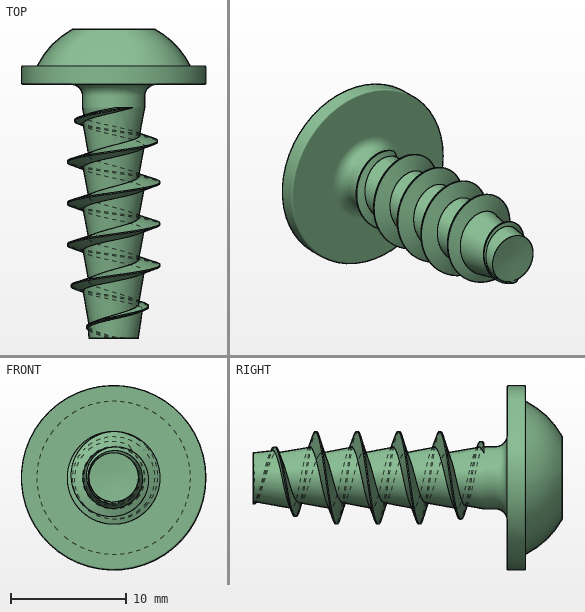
import cadquery as cq
import math


flange_radius = 8.0
flange_thickness = 1.6
flange_edge_round = 0.13
dome_base_radius = 6.65
dome_top_radius = 3.56
head_height = 4.8
dome_height = head_height - flange_thickness

shank_radius = 2.7
neck_fillet = 1.0
shank_length = 2.0
tip_y = head_height - 26.8

pitch = 3.6
crest_y_at_zero_turns = -12.1
crest_radius = 4.02
crest_half_width = 0.05
head_side_slope = 0.27
tip_side_slope = 0.33
full_start, full_end = -1.75, 1.25
fade_in_per_turn = 0.85
fade_out_per_turn = 1.35
faded_crest_radius = 2.28

core_large_radius = 2.65
core_small_radius = 2.17
lowest_flank_height = 0.03
tip_side_taper_start = 1.75
tip_side_taper_per_turn = 0.6
head_side_taper_start = 2.25
head_side_taper_per_turn = 0.2
lead_cone_length = 3.03
lead_cone_end_radius = 2.15

first_turn = full_start - 3
turn_count = 8

dish_radius = 2.06
dish_depth = 0.13

POINTS_PER_TURN = 24


def thread_section(turns):
    """Corners as (radius, offset towards the tip): head-side root, crest edges, tip-side root."""
    fade = fade_in_per_turn * max(0, full_start - turns) + fade_out_per_turn * max(0, turns - full_end)
    radius = max(crest_radius - fade, faded_crest_radius)
    head_side_root = core_small_radius - head_side_taper_per_turn * max(0, turns - head_side_taper_start)
    tip_side_root = core_large_radius - tip_side_taper_per_turn * max(0, turns - tip_side_taper_start)
    tip_side_root = min(tip_side_root, radius - lowest_flank_height)
    return [
        (head_side_root, -crest_half_width - head_side_slope * (radius - head_side_root)),
        (radius, -crest_half_width),
        (radius, crest_half_width),
        (tip_side_root, crest_half_width + tip_side_slope * (radius - tip_side_root)),
    ]


def helix_points(turns):
    angle = 2 * math.pi * turns
    crest_y = crest_y_at_zero_turns - pitch * turns
    return [
        cq.Vector(radius * math.cos(angle), crest_y - offset, radius * math.sin(angle))
        for radius, offset in thread_section(turns)
    ]


def one_turn_edges(start):
    """One spline per thread corner, running through the turn that begins at start."""
    stations = [start + i / POINTS_PER_TURN for i in range(POINTS_PER_TURN + 1)]
    return [cq.Edge.makeSpline(list(points)) for points in zip(*map(helix_points, stations))]


def on_axis(point):
    return cq.Vector(0, point.y, 0)


def end_cap(turns, root_edge):
    """Close one helix end: a helicoid in to the axis and the flat thread section."""
    root, next_root = helix_points(turns)[0], helix_points(turns + 1)[0]
    axis_edge = cq.Edge.makeLine(on_axis(root), on_axis(next_root))
    corners = [on_axis(root), *helix_points(turns), next_root, on_axis(next_root)]
    section = cq.Face.makeFromWires(cq.Wire.makePolygon(corners, close=True))
    return [cq.Face.makeRuledSurface(root_edge, axis_edge), section]


def threaded_length():
    last_turn = first_turn + turn_count
    turns = [one_turn_edges(first_turn + i) for i in range(turn_count + 1)]
    faces = end_cap(first_turn, turns[0][0]) + end_cap(last_turn, turns[-1][0])
    for edges, next_edges in zip(turns, turns[1:]):
        outline = edges + [next_edges[0]]
        faces += [cq.Face.makeRuledSurface(near, far) for near, far in zip(outline, outline[1:])]
    screw = cq.Workplane(cq.Solid.makeSolid(cq.Shell.makeShell(faces)).fix())
    limits = cq.Workplane("XZ").workplane(offset=shank_length).circle(flange_radius)
    return screw.intersect(limits.extrude(-tip_y - shank_length))


def head_and_shank():
    centre_drop = (dome_base_radius**2 - dome_top_radius**2 - dome_height**2) / (2 * dome_height)
    sphere_radius = math.hypot(dome_base_radius, centre_drop)
    mid_height = dome_height / 2
    mid_radius = math.sqrt(sphere_radius**2 - (centre_drop + mid_height)**2)
    fillet_mid = neck_fillet * (1 - math.sqrt(0.5))
    dome = (
        cq.Workplane("XY")
        .moveTo(0, head_height)
        .lineTo(dome_top_radius, head_height)
        .threePointArc((mid_radius, flange_thickness + mid_height), (dome_base_radius, flange_thickness))
        .lineTo(dome_base_radius, flange_thickness / 2)
        .lineTo(0, flange_thickness / 2)
        .close()
        .revolve(360, (0, 0), (0, 1))
    )
    flange = (
        cq.Workplane("XZ")
        .circle(flange_radius)
        .extrude(-flange_thickness)
        .edges()
        .fillet(flange_edge_round)
    )
    shank = (
        cq.Workplane("XY")
        .moveTo(0, flange_thickness / 2)
        .lineTo(shank_radius + neck_fillet, flange_thickness / 2)
        .lineTo(shank_radius + neck_fillet, 0)
        .threePointArc((shank_radius + fillet_mid, -fillet_mid), (shank_radius, -neck_fillet))
        .lineTo(shank_radius, -shank_length)
        .lineTo(lead_cone_end_radius, -shank_length - lead_cone_length)
        .lineTo(0, -shank_length - lead_cone_length)
        .close()
        .revolve(360, (0, 0), (0, 1))
    )
    return flange.union(dome).union(shank)


def tip_dish():
    return (
        cq.Workplane("XY")
        .moveTo(0, tip_y)
        .lineTo(dish_radius, tip_y)
        .lineTo(0, tip_y + dish_depth)
        .close()
        .revolve(360, (0, 0), (0, 1))
    )


result = head_and_shank().union(threaded_length()).cut(tip_dish())